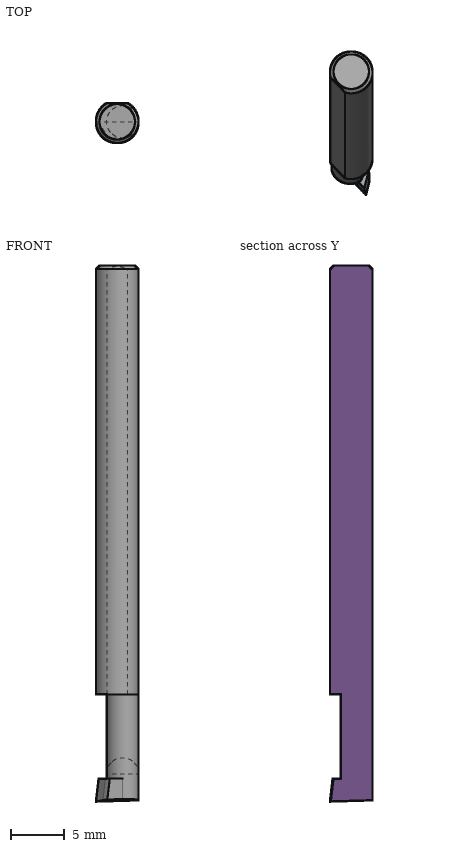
import cadquery as cq

total_length = 50.0
shank_radius = 2.0
flat_offset = 1.75
shank_chamfer = 0.35

neck_length = 10.0
neck_radius = 1.5
neck_x = shank_radius - neck_radius

rake_height = 2.6

tooth_height = 2.15
tooth_taper = 0.25
flank_x = -1.35
flank_y = -1.05
heel_x = -0.95

end_rise_x = 0.03
end_rise_y = 0.12
cutter_size = 4 * shank_radius


def make_shank():
    shank = (
        cq.Workplane("XY")
        .workplane(offset=neck_length)
        .circle(shank_radius)
        .extrude(total_length - neck_length)
        .faces(">Z")
        .chamfer(shank_chamfer)
    )
    flat_cutter = (
        cq.Workplane("XY")
        .box(cutter_size, cutter_size, total_length, centered=(True, False, False))
        .translate((0, flat_offset, 0))
    )
    return shank.cut(flat_cutter)


def make_neck():
    neck = cq.Workplane("XY").center(neck_x, 0).circle(neck_radius).extrude(neck_length)
    rake_cutter = (
        cq.Workplane("YZ")
        .polyline([
            (0, 0),
            (0, rake_height),
            (cutter_size, rake_height + cutter_size),
            (cutter_size, 0),
        ])
        .close()
        .extrude(shank_radius, both=True)
    )
    return neck.cut(rake_cutter)


def tooth_outline(lean):
    return [
        (-shank_radius + lean, 0),
        (flank_x + lean, flank_y),
        (heel_x + lean, -neck_radius),
        (neck_x, -neck_radius),
        (neck_x, 0),
    ]


def make_tooth():
    return (
        cq.Workplane("XY")
        .polyline(tooth_outline(0))
        .close()
        .workplane(offset=tooth_height)
        .polyline(tooth_outline(tooth_taper))
        .close()
        .loft(ruled=True)
    )


def make_end_cutter():
    end_plane = cq.Plane(
        origin=(-shank_radius, 0, 0),
        xDir=(1, 0, end_rise_x),
        normal=(-end_rise_x, end_rise_y, 1),
    )
    return cq.Workplane(end_plane).rect(2 * cutter_size, 2 * cutter_size).extrude(-cutter_size)


result = make_shank().union(make_neck()).union(make_tooth()).cut(make_end_cutter())